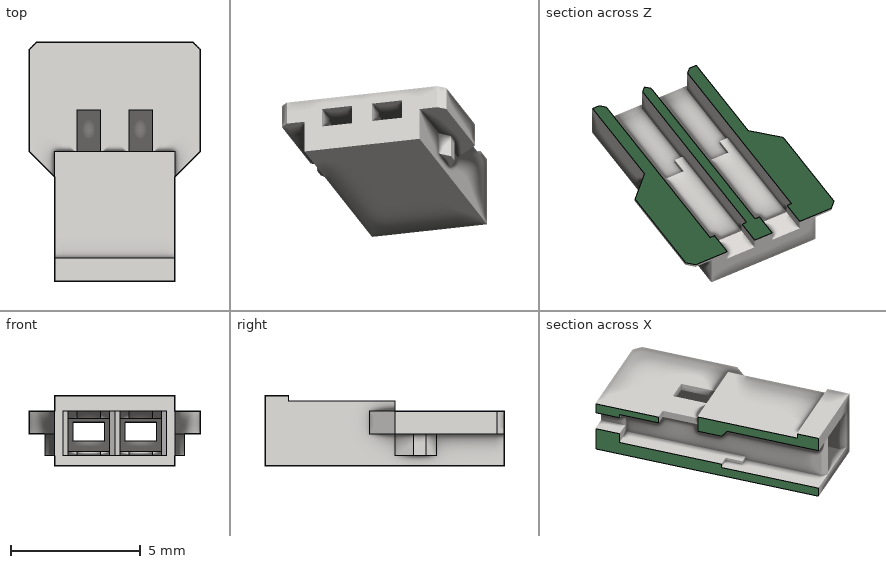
import cadquery as cq

length = 9.2
wing_width = 6.6
height = 2.7

body_width = 4.62
body_length = 5.0
body_top = 2.5
lip_length = 0.9

wing_bottom = 1.23
wing_top = 2.11
wing_corner = 0.285
wing_overhang = (wing_width - body_width) / 2

tab_bottom = 0.4
tab_reach = 0.38
tab_front_taper = 0.71
tab_rear_taper = 0.405
tab_length = 1.6

pitch = 2.0
chamber_width = 1.6
chamber_bottom = 0.55
chamber_top = 1.82
rear_wall = 1.0
mouth_bottom = 0.4
mouth_top = wing_top
mouth_flare = (pitch - chamber_width) / 2

side_throat_length = 3.31
side_ramp_run = 0.16
middle_throat_length = 4.0
middle_ramp_run = 0.22

window_width = 0.9
window_length = tab_length
wire_width = 1.205
wire_bottom = 0.96
wire_top = 1.67


def block(width, y_start, y_end, z_start, z_end):
    """Box centred on X = 0 between the given Y and Z limits."""
    size = (width, y_end - y_start, z_end - z_start)
    return cq.Workplane("XY").box(*size, centered=(True, False, False)).translate((0, y_start, z_start))


def plan_prism(points, z_start, z_end):
    """Vertical prism mirrored about X = 0 from the +X half of its plan outline."""
    outline = points + [(-x, y) for x, y in reversed(points)]
    return cq.Workplane("XY").workplane(offset=z_start).polyline(outline).close().extrude(z_end - z_start)


def make_wing():
    half_body = body_width / 2
    half_wing = wing_width / 2
    points = [
        (half_body, body_length - wing_overhang),
        (half_wing, body_length),
        (half_wing, length - wing_corner),
        (half_wing - wing_corner, length),
    ]
    return plan_prism(points, wing_bottom, wing_top)


def make_tabs():
    half_body = body_width / 2
    half_tabs = half_body + tab_reach
    tab_end = body_length + tab_length
    points = [
        (half_body, body_length),
        (half_tabs, body_length + tab_front_taper),
        (half_tabs, tab_end - tab_rear_taper),
        (half_body, tab_end),
    ]
    return plan_prism(points, tab_bottom, wing_bottom)


def make_throat(width, throat_length, ramp_run):
    """Tall front part of a chamber, with a sloping end to its roof and a square end to its floor."""
    outline = [
        (0, mouth_bottom),
        (throat_length, mouth_bottom),
        (throat_length, chamber_top),
        (throat_length - ramp_run, mouth_top),
        (0, mouth_top),
    ]
    return cq.Workplane("YZ").polyline(outline).close().extrude(width / 2, both=True)


def make_chamber():
    half_chamber = chamber_width / 2
    mouth = plan_prism([(half_chamber + mouth_flare, 0), (half_chamber, mouth_flare)], mouth_bottom, mouth_top)
    main = block(chamber_width, 0, length - rear_wall, chamber_bottom, chamber_top)
    wire_opening = block(wire_width, 0, length, wire_bottom, wire_top)
    window = block(window_width, body_length, body_length + window_length, chamber_top, wing_top)
    side_throat = make_throat(chamber_width, side_throat_length, side_ramp_run)
    middle_throat = make_throat(window_width, middle_throat_length, middle_ramp_run)
    return main.union(mouth).union(side_throat).union(middle_throat).union(wire_opening).union(window)


result = (
    block(body_width, 0, length, 0, wing_bottom)
    .union(block(body_width, 0, body_length, 0, body_top))
    .union(block(body_width, 0, lip_length, 0, height))
    .union(make_wing())
    .union(make_tabs())
)
for side in (-1, 1):
    result = result.cut(make_chamber().translate((side * pitch / 2, 0, 0)))
result = result.clean()